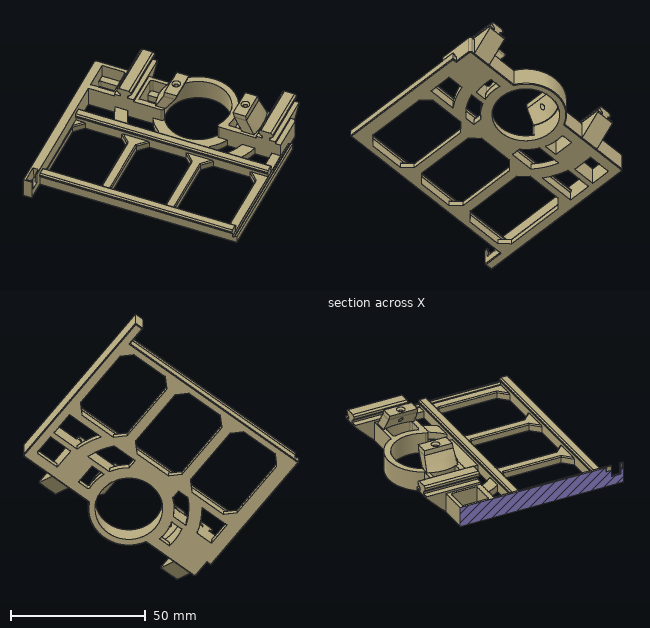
import cadquery as cq
import math


FRAME_LEFT = -44.4
FRAME_RIGHT = 36.4
FRAME_HEIGHT = 8.5
BASE_HEIGHT = 3.0
FRAME_CORNER_RADIUS = 0.9
BOTTOM_CHAMFER = 0.3

SIDE_BAR_WIDTH = 3.5
SIDE_BAR_END = -61.45
SIDE_BAR_INNER = FRAME_LEFT + SIDE_BAR_WIDTH

BAND_BACK = 6.95
BAND_FRONT = -7.6
BAND_TIP_RADIUS = 1.0

BORE_RADIUS = 12.5
RING_RADIUS = 15.1
LOWER_RING_RADIUS = 16.8
NECK_HALF_WIDTH = 10.2

LEFT_BRACE_RADIUS = 28.65
RIGHT_BRACE_RADIUS = 24.7
BRACE_WIDTH = 4.9

BAR_WIDTH = 2.7
BAR_HEIGHT = 6.2
BEAD_OVERHANG = 0.45
BEAD_UNDERCUT_Z = 4.3
BEAD_LOW_Z = 4.95
BEAD_HIGH_Z = 5.55
REAR_BAR_CENTER = -18.3
FRONT_BAR_CENTER = -52.25

WINDOW_COUNT = 3
WINDOW_PITCH = 25.75
WINDOW_WIDTH = 21.85
WINDOW_CORNER = 3.6
WINDOW_EDGE_CHAMFER = 0.45
RIGHT_STRIP_WIDTH = 3.6

TAB_WIDTH = 1.81
TAB_FLOOR_Z = 2.75
TAB_TOP_Z = 3.4
TAB_HOOK_START = 0.55
TAB_HOOK_END = 1.1
TAB_BACK = -0.3
TAB_FRONT = FRONT_BAR_CENTER - BAR_WIDTH / 2

POCKET_BACK = 5.45
POCKET_FRONT = -5.45
LEDGE_FRONT = 2.75
LEFT_POCKET_RIGHT = -31.45
MIDDLE_POCKET_LEFT = -21.4
RIGHT_POCKET_FAR_RADIUS = 21.3
POCKET_CORNER_RADIUS = 0.9
FLOOR_CORNER_RADIUS = 0.6

RAIL_CENTERS = (-26.6, 30.4)
RAIL_BACK = 15.1
RAIL_LENGTH = RAIL_BACK - BAND_FRONT
FLANGE_HALF_WIDTH = 3.9
FLANGE_TOP_Z = 9.4
RAIL_NECK_HALF_WIDTH = 1.5
RAIL_NECK_TOP_Z = 10.2
RAIL_HEAD_HALF_WIDTH = 2.85
RAIL_HEAD_LOW_Z = 11.5
RAIL_HEAD_HIGH_Z = 12.5
RAIL_CROWN_HALF_WIDTH = 2.0
RAIL_TOP_Z = 13.1

ARM_BEND_Z = 14.3
ARM_TOP_Z = 16.2
ARM_BASE_HALF_LENGTH = 6.45
ARM_BEND_HALF_LENGTH = 6.0
ARM_TOP_HALF_LENGTH = 5.8
LEFT_ARM_OUTER_RADIUS = 15.7
LEFT_ARM_INNER_RADIUS = 12.3
RIGHT_ARM_OUTER_RADIUS = 25.95
RIGHT_ARM_INNER_RADIUS = 21.3
LEFT_ARM_BEND = (-11.4, -6.7)
LEFT_ARM_TOP = (-11.1, -6.1)
RIGHT_ARM_BEND = (21.95, 17.1)
RIGHT_ARM_TOP = (21.5, 16.5)
ARM_HOLE_CENTERS = (-8.8, 19.0)
ARM_HOLE_DIAMETER = 1.6
COUNTERSINK_DIAMETER = 3.2
COUNTERSINK_ANGLE = 90

SLOT_LEFT = -43.5
SLOT_RIGHT = -41.4
SLOT_WALL_DRAFT = 0.45
SLOT_BACK = -54.3
SLOT_FRONT = -60.9
SLOT_MOUTH_BACK = -56.5
SLOT_MOUTH_FRONT = -60.2
SLOT_FLOOR_Z = 4.0


def box(x0, x1, y0, y1, z0, z1):
    """Axis-aligned block given by its limits."""
    return cq.Workplane("XY").box(x1 - x0, y1 - y0, z1 - z0, centered=False).translate((x0, y0, z0))


def disc(radius, z0, z1):
    """Cylinder on the bore axis."""
    return cq.Workplane("XY").workplane(offset=z0).circle(radius).extrude(z1 - z0)


def prism_along_y(points, y_back, length):
    """Extrude an XZ outline from y_back towards -Y."""
    return cq.Workplane("XZ", origin=(0, y_back, 0)).polyline(points).close().extrude(length)


def make_band():
    """Tall cross band with its rear ring and the bore."""
    band = box(FRAME_LEFT, FRAME_RIGHT, BAND_FRONT, BAND_BACK, 0, FRAME_HEIGHT)
    band = band.edges("|Z and >Y").fillet(FRAME_CORNER_RADIUS)
    ring = disc(RING_RADIUS, 0, FRAME_HEIGHT)
    ring = ring.intersect(box(-RING_RADIUS, RING_RADIUS, BAND_FRONT, RING_RADIUS, 0, FRAME_HEIGHT))
    band = band.union(ring).cut(disc(BORE_RADIUS, 0, FRAME_HEIGHT))
    tip_x = math.sqrt(BORE_RADIUS**2 - BAND_FRONT**2)
    reach = BAND_TIP_RADIUS
    tips = cq.selectors.BoxSelector(
        (-tip_x - reach, BAND_FRONT - reach, 0),
        (tip_x + reach, BAND_FRONT + reach, FRAME_HEIGHT),
    )
    return band.edges("|Z").edges(tips).fillet(BAND_TIP_RADIUS)


def make_brace(radius, x0, x1):
    """Curved brace around the bore axis, between the given X limits."""
    brace = disc(radius + BRACE_WIDTH / 2, 0, BASE_HEIGHT)
    brace = brace.cut(disc(radius - BRACE_WIDTH / 2, 0, BASE_HEIGHT))
    return brace.intersect(box(x0, x1, REAR_BAR_CENTER, BAND_FRONT, 0, BASE_HEIGHT))


def make_base():
    """Low layer: lower ring, neck, braces, right strip and window frame."""
    frame_front = FRONT_BAR_CENTER - BAR_WIDTH / 2
    window_back = REAR_BAR_CENTER - BAR_WIDTH / 2
    base = disc(LOWER_RING_RADIUS, 0, BASE_HEIGHT)
    base = base.union(box(-NECK_HALF_WIDTH, NECK_HALF_WIDTH, REAR_BAR_CENTER, 0, 0, BASE_HEIGHT))
    base = base.cut(disc(BORE_RADIUS, 0, BASE_HEIGHT))
    base = base.intersect(box(SIDE_BAR_INNER, FRAME_RIGHT, REAR_BAR_CENTER, BAND_BACK, 0, BASE_HEIGHT))
    base = base.union(make_brace(LEFT_BRACE_RADIUS, SIDE_BAR_INNER, 0))
    base = base.union(make_brace(RIGHT_BRACE_RADIUS, 0, FRAME_RIGHT))
    strip_left = FRAME_RIGHT - RIGHT_STRIP_WIDTH
    base = base.union(box(strip_left, FRAME_RIGHT, REAR_BAR_CENTER, BAND_FRONT, 0, BASE_HEIGHT))

    grid = box(SIDE_BAR_INNER, FRAME_RIGHT, frame_front, REAR_BAR_CENTER, 0, BASE_HEIGHT)
    window_length = window_back - (FRONT_BAR_CENTER + BAR_WIDTH / 2)
    center_y = window_back - window_length / 2
    frame_center_x = (FRAME_LEFT + FRAME_RIGHT) / 2
    for index in range(WINDOW_COUNT):
        center_x = frame_center_x + WINDOW_PITCH * (index - (WINDOW_COUNT - 1) / 2)
        grid = grid.cut(make_window(center_x, center_y, WINDOW_WIDTH, window_length))
    return base.union(grid)


def make_window(center_x, center_y, width, length):
    """Octagonal window cutter that flares at the top edge."""
    outline = cq.Sketch().rect(width, length).vertices().chamfer(WINDOW_CORNER)
    cutter = cq.Workplane("XY").placeSketch(outline).extrude(BASE_HEIGHT)
    flare = cq.Workplane("XY", origin=(0, 0, BASE_HEIGHT - WINDOW_EDGE_CHAMFER)).placeSketch(outline)
    flare = flare.extrude(WINDOW_EDGE_CHAMFER, taper=-45)
    return cutter.union(flare).translate((center_x, center_y, 0))


def make_crossbar(center_y):
    """Upright crossbar body."""
    half = BAR_WIDTH / 2
    return box(SIDE_BAR_INNER, FRAME_RIGHT, center_y - half, center_y + half, 0, BAR_HEIGHT)


def make_bead(center_y):
    """Beaded head of a crossbar."""
    half = BAR_WIDTH / 2
    wide = half + BEAD_OVERHANG
    outline = [
        (center_y - half, BEAD_UNDERCUT_Z),
        (center_y - wide, BEAD_LOW_Z),
        (center_y - wide, BEAD_HIGH_Z),
        (center_y - half, BAR_HEIGHT),
        (center_y + half, BAR_HEIGHT),
        (center_y + wide, BEAD_HIGH_Z),
        (center_y + wide, BEAD_LOW_Z),
        (center_y + half, BEAD_UNDERCUT_Z),
    ]
    plane = cq.Workplane("YZ", origin=(SIDE_BAR_INNER, 0, 0))
    return plane.polyline(outline).close().extrude(FRAME_RIGHT - SIDE_BAR_INNER)


def make_tab():
    """Hooked tab on the right side."""
    outline = [
        (FRAME_RIGHT, 0),
        (FRAME_RIGHT + TAB_WIDTH, 0),
        (FRAME_RIGHT + TAB_WIDTH, TAB_TOP_Z),
        (FRAME_RIGHT + TAB_HOOK_END, TAB_TOP_Z),
        (FRAME_RIGHT + TAB_HOOK_START, TAB_FLOOR_Z),
        (FRAME_RIGHT, TAB_FLOOR_Z),
    ]
    return prism_along_y(outline, TAB_BACK, TAB_BACK - TAB_FRONT)


def pocket_layer(x0, x1, y_back, z0, z1, rounded):
    """Rectangular pocket cutter with the chosen vertical edges rounded."""
    cutter = box(x0, x1, POCKET_FRONT, y_back, z0, z1)
    return cutter.edges(rounded).fillet(POCKET_CORNER_RADIUS)


def make_pockets():
    """Three stepped pockets; a rear ledge and the lower ring stay as floor."""
    left_upper = pocket_layer(
        SIDE_BAR_INNER, LEFT_POCKET_RIGHT, POCKET_BACK, BASE_HEIGHT, FRAME_HEIGHT, "|Z and >Y and >X"
    )
    left_lower = box(SIDE_BAR_INNER, LEFT_POCKET_RIGHT, POCKET_FRONT, LEDGE_FRONT, 0, BASE_HEIGHT)
    left_lower = left_lower.edges("|Z and >Y and <X").fillet(FLOOR_CORNER_RADIUS)

    wall = disc(RING_RADIUS, 0, FRAME_HEIGHT)
    floor_ring = disc(LOWER_RING_RADIUS, 0, BASE_HEIGHT)
    middle_upper = pocket_layer(
        MIDDLE_POCKET_LEFT, 0, POCKET_BACK, BASE_HEIGHT, FRAME_HEIGHT, "|Z and >Y and <X"
    ).cut(wall)
    middle_lower = box(MIDDLE_POCKET_LEFT, 0, POCKET_FRONT, LEDGE_FRONT, 0, BASE_HEIGHT)
    middle_lower = middle_lower.cut(floor_ring)
    middle_lower = middle_lower.edges("|Z and >Y").edges(">X").fillet(FLOOR_CORNER_RADIUS)

    far_wall = disc(RIGHT_POCKET_FAR_RADIUS, 0, FRAME_HEIGHT)
    right_upper = box(0, RIGHT_POCKET_FAR_RADIUS, POCKET_FRONT, POCKET_BACK, BASE_HEIGHT, FRAME_HEIGHT)
    right_upper = right_upper.intersect(far_wall).cut(wall).edges("|Z").fillet(POCKET_CORNER_RADIUS)
    right_lower = box(0, RIGHT_POCKET_FAR_RADIUS, POCKET_FRONT, LEDGE_FRONT, 0, BASE_HEIGHT)
    right_lower = right_lower.intersect(far_wall).cut(floor_ring)
    return [left_upper, left_lower, middle_upper, middle_lower, right_upper, right_lower]


def make_rail(center_x):
    """Slide rail with a flange and a 45 degree gusset below its overhang."""
    right_half = [
        (FLANGE_HALF_WIDTH, FRAME_HEIGHT),
        (FLANGE_HALF_WIDTH, FLANGE_TOP_Z),
        (RAIL_NECK_HALF_WIDTH, FLANGE_TOP_Z),
        (RAIL_NECK_HALF_WIDTH, RAIL_NECK_TOP_Z),
        (RAIL_HEAD_HALF_WIDTH, RAIL_HEAD_LOW_Z),
        (RAIL_HEAD_HALF_WIDTH, RAIL_HEAD_HIGH_Z),
        (RAIL_CROWN_HALF_WIDTH, RAIL_TOP_Z),
    ]
    left_half = [(-x, z) for x, z in reversed(right_half)]
    rail = prism_along_y(right_half + left_half, RAIL_BACK, RAIL_LENGTH)
    gusset_reach = RAIL_BACK - BAND_BACK
    gusset = cq.Workplane("YZ", origin=(-FLANGE_HALF_WIDTH, 0, 0)).polyline([
        (RAIL_BACK, FRAME_HEIGHT),
        (BAND_BACK, FRAME_HEIGHT),
        (BAND_BACK, FRAME_HEIGHT - gusset_reach),
    ]).close().extrude(2 * FLANGE_HALF_WIDTH)
    return rail.union(gusset).translate((center_x, 0, 0))


def make_arm(side, outer_radius, inner_radius, bend, top, hole_x):
    """Arm that leans from a curved foot to a straight tip with a countersunk hole."""
    half = ARM_BASE_HALF_LENGTH
    outer_x = side * math.sqrt(outer_radius**2 - half**2)
    inner_x = side * math.sqrt(inner_radius**2 - half**2)
    foot = (
        cq.Workplane("XY", origin=(0, 0, FRAME_HEIGHT))
        .moveTo(outer_x, -half)
        .threePointArc((side * outer_radius, 0), (outer_x, half))
        .lineTo(inner_x, half)
        .threePointArc((side * inner_radius, 0), (inner_x, -half))
        .close()
    )
    bend_half = ARM_BEND_HALF_LENGTH
    bend_section = [
        (bend[0], -bend_half),
        (bend[0], bend_half),
        (bend[1], bend_half),
        (bend[1], -bend_half),
    ]
    top_half = ARM_TOP_HALF_LENGTH
    top_section = [
        (top[0], -top_half),
        (top[0], top_half),
        (top[1], top_half),
        (top[1], -top_half),
    ]
    bend_rise = ARM_BEND_Z - FRAME_HEIGHT
    lower = foot.workplane(offset=bend_rise).polyline(bend_section).close().loft(ruled=True)
    upper = cq.Workplane("XY", origin=(0, 0, ARM_BEND_Z)).polyline(bend_section).close()
    upper = upper.workplane(offset=ARM_TOP_Z - ARM_BEND_Z).polyline(top_section).close().loft(ruled=True)
    arm = lower.union(upper)
    drill = cq.Workplane("XY", origin=(hole_x, 0, FRAME_HEIGHT)).circle(ARM_HOLE_DIAMETER / 2)
    drill = drill.extrude(ARM_TOP_Z - FRAME_HEIGHT)
    sink_radius = COUNTERSINK_DIAMETER / 2
    sink_depth = sink_radius / math.tan(math.radians(COUNTERSINK_ANGLE / 2))
    sink = cq.Solid.makeCone(0, sink_radius, sink_depth, pnt=cq.Vector(hole_x, 0, ARM_TOP_Z - sink_depth))
    return arm.cut(drill).cut(cq.Workplane(sink))


def make_slot():
    """Slot in the end of the side bar, with inclined walls and a narrower mouth towards +X."""
    outline = [
        (SLOT_LEFT, FRAME_HEIGHT),
        (SLOT_RIGHT, FRAME_HEIGHT),
        (SLOT_RIGHT - SLOT_WALL_DRAFT, SLOT_FLOOR_Z),
        (SLOT_LEFT + SLOT_WALL_DRAFT, SLOT_FLOOR_Z),
    ]
    cavity = prism_along_y(outline, SLOT_BACK, SLOT_BACK - SLOT_FRONT)
    middle_x = (SLOT_LEFT + SLOT_RIGHT) / 2
    mouth = box(middle_x, SIDE_BAR_INNER, SLOT_MOUTH_FRONT, SLOT_MOUTH_BACK, SLOT_FLOOR_Z, FRAME_HEIGHT)
    return cavity.union(mouth)


body = make_band().union(make_base())
body = body.union(box(FRAME_LEFT, SIDE_BAR_INNER, SIDE_BAR_END, 0, 0, FRAME_HEIGHT))
for bar_y in (REAR_BAR_CENTER, FRONT_BAR_CENTER):
    body = body.union(make_crossbar(bar_y))
body = body.union(make_tab())
underside = body.faces("<Z").val()
body = body.newObject(underside.outerWire().Edges()).chamfer(BOTTOM_CHAMFER)

for bar_y in (REAR_BAR_CENTER, FRONT_BAR_CENTER):
    body = body.union(make_bead(bar_y))
for pocket in make_pockets():
    body = body.cut(pocket)
for rail_x in RAIL_CENTERS:
    body = body.union(make_rail(rail_x))

left_arm = make_arm(
    -1, LEFT_ARM_OUTER_RADIUS, LEFT_ARM_INNER_RADIUS, LEFT_ARM_BEND, LEFT_ARM_TOP, ARM_HOLE_CENTERS[0]
)
right_arm = make_arm(
    1, RIGHT_ARM_OUTER_RADIUS, RIGHT_ARM_INNER_RADIUS, RIGHT_ARM_BEND, RIGHT_ARM_TOP, ARM_HOLE_CENTERS[1]
)
result = body.union(left_arm).union(right_arm).cut(make_slot())